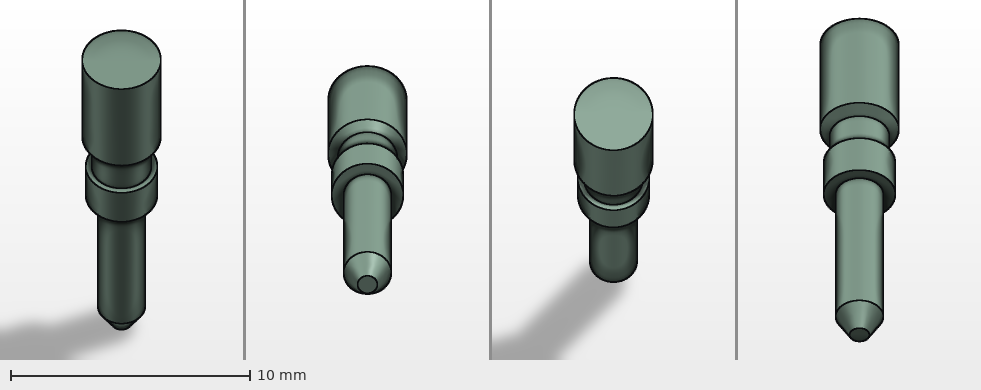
import cadquery as cq

head_diameter = 3.3
neck_diameter = 2.5
collar_diameter = 3.0
pin_diameter = 2.0
tip_diameter = 0.82

total_length = 16.5
tip_length = 1.04
pin_length = 6.96
collar_length = 1.82
neck_length = 1.48

head_chamfer = (head_diameter - neck_diameter) / 2

collar_bottom = tip_length + pin_length
collar_top = collar_bottom + collar_length
neck_top = collar_top + neck_length
head_bottom = neck_top + head_chamfer

profile = [
    (0, 0),
    (tip_diameter / 2, 0),
    (pin_diameter / 2, tip_length),
    (pin_diameter / 2, collar_bottom),
    (collar_diameter / 2, collar_bottom),
    (collar_diameter / 2, collar_top),
    (neck_diameter / 2, collar_top),
    (neck_diameter / 2, neck_top),
    (head_diameter / 2, head_bottom),
    (head_diameter / 2, total_length),
    (0, total_length),
]

result = cq.Workplane("XZ").polyline(profile).close().revolve(360, (0, 0), (0, 1))